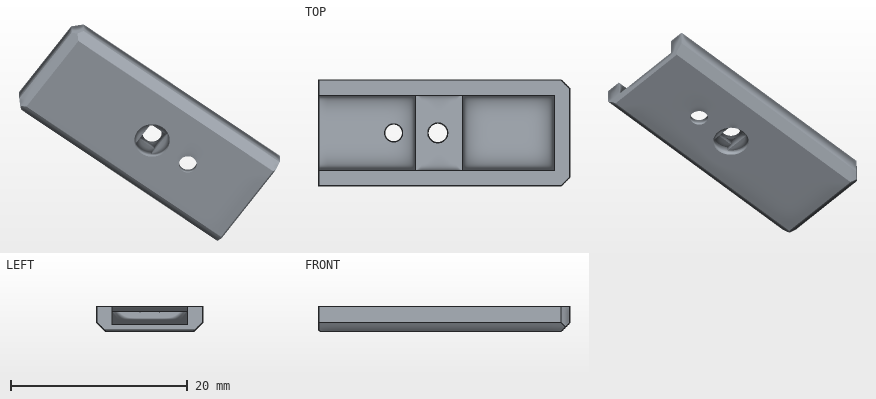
import cadquery as cq

LENGTH = 28.45
WIDTH = 12.0
HEIGHT = 2.85
CHAMFER = 1.0
OPEN_END_CHAMFER = 0.2

WALL = 1.75
FLOOR_THICKNESS = 0.8
CHANNEL_LENGTH = LENGTH - WALL
CHANNEL_WIDTH = WIDTH - 2 * WALL

PAD_START = 11.0
PAD_END = 16.3
PAD_TOP = 2.25

FLOOR_HOLE_X = 8.5
FLOOR_HOLE_DIAMETER = 2.0

SCREW_HOLE_X = 13.5
SCREW_HOLE_DIAMETER = 2.2
COUNTERBORE_DIAMETER = 4.0
COUNTERBORE_DEPTH = 0.75
STEP_HEIGHT = 0.5
SLOT_TOP = COUNTERBORE_DEPTH + STEP_HEIGHT
SQUARE_TOP = SLOT_TOP + STEP_HEIGHT


def box_between(x_start, x_end, width, z_bottom, z_top):
    """Box centred on Y, given by its X and Z limits."""
    size = (x_end - x_start, width, z_top - z_bottom)
    return cq.Workplane("XY").box(*size, centered=(False, True, False)).translate((x_start, 0, z_bottom))


def full_block():
    return box_between(0, LENGTH, WIDTH, 0, HEIGHT)


def chamfered_body():
    lower_edges = full_block().edges("<Z and (|X or >X)").chamfer(CHAMFER)
    lower_edges = lower_edges.edges("<Z and <X").chamfer(OPEN_END_CHAMFER)
    closed_end_corners = full_block().edges("|Z and >X").chamfer(CHAMFER)
    return lower_edges.intersect(closed_end_corners)


def cut_channel(body):
    channel = box_between(0, CHANNEL_LENGTH, CHANNEL_WIDTH, FLOOR_THICKNESS, HEIGHT)
    return body.cut(channel)


def add_pad(body):
    pad = box_between(PAD_START, PAD_END, CHANNEL_WIDTH, FLOOR_THICKNESS, PAD_TOP)
    return body.union(pad)


def round_cutter(x, diameter, height):
    return cq.Workplane("XY").center(x, 0).circle(diameter / 2).extrude(height)


def cut_floor_hole(body):
    return body.cut(round_cutter(FLOOR_HOLE_X, FLOOR_HOLE_DIAMETER, HEIGHT))


def cut_stepped_screw_hole(body):
    radius = SCREW_HOLE_DIAMETER / 2
    x_start = SCREW_HOLE_X - radius
    x_end = SCREW_HOLE_X + radius
    counterbore = round_cutter(SCREW_HOLE_X, COUNTERBORE_DIAMETER, COUNTERBORE_DEPTH)
    slot = box_between(x_start, x_end, COUNTERBORE_DIAMETER, 0, SLOT_TOP)
    slot = slot.intersect(round_cutter(SCREW_HOLE_X, COUNTERBORE_DIAMETER, SLOT_TOP))
    square = box_between(x_start, x_end, SCREW_HOLE_DIAMETER, 0, SQUARE_TOP)
    screw_hole = round_cutter(SCREW_HOLE_X, SCREW_HOLE_DIAMETER, HEIGHT)
    for cutter in (counterbore, slot, square, screw_hole):
        body = body.cut(cutter)
    return body


result = chamfered_body()
result = cut_channel(result)
result = add_pad(result)
result = cut_floor_hole(result)
result = cut_stepped_screw_hole(result)